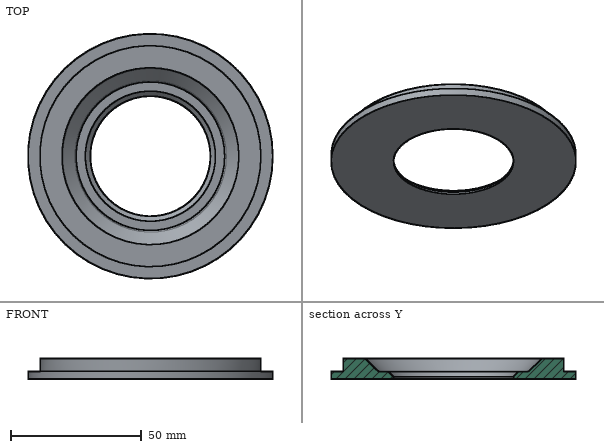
import cadquery as cq

height = 8.0
flange_height = 3.0
seat_height = 2.9
seat_rim_height = 3.2
bore_land_height = 0.9

flange_radius = 94 / 2
hub_radius = 84.8 / 2

mouth_radius = 33.9
mouth_bevel = 0.2
cone_foot_radius = 29.0
seat_radius = 28.5
bore_radius = 46.0 / 2
bore_chamfer = seat_height - bore_land_height

profile = (
    cq.Workplane("XZ")
    .moveTo(bore_radius, 0)
    .lineTo(flange_radius, 0)
    .lineTo(flange_radius, flange_height)
    .lineTo(hub_radius, flange_height)
    .lineTo(hub_radius, height)
    .lineTo(mouth_radius, height)
    .lineTo(mouth_radius - mouth_bevel, height - mouth_bevel)
    .lineTo(cone_foot_radius, seat_rim_height)
    .lineTo(seat_radius, seat_height)
    .lineTo(bore_radius + bore_chamfer, seat_height)
    .lineTo(bore_radius, bore_land_height)
    .close()
)

result = profile.revolve(360, (0, 0, 0), (0, 1, 0))